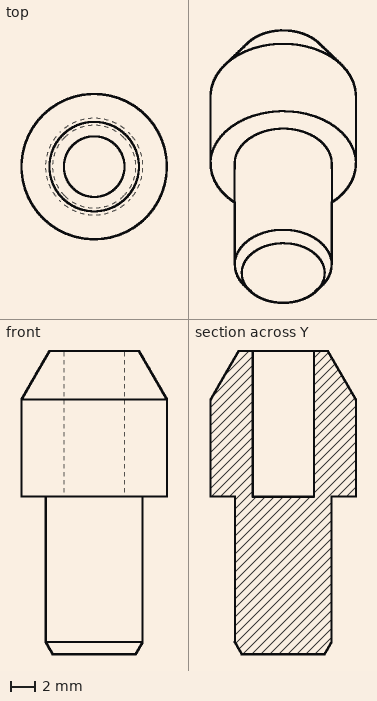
import cadquery as cq
import math

total_height = 25.0
head_diameter = 12.0
head_height = 12.0
head_taper_height = 4.0
stem_diameter = 8.0
stem_taper_height = 1.0
taper_angle = math.radians(30.0)
bore_diameter = 5.0
bore_depth = head_height

head_radius = head_diameter / 2
stem_radius = stem_diameter / 2
head_top_radius = head_radius - head_taper_height * math.tan(taper_angle)
stem_tip_radius = stem_radius - stem_taper_height * math.tan(taper_angle)
shoulder_level = total_height - head_height
head_taper_level = total_height - head_taper_height


def pin_body():
    """Revolve the half profile of the stem and head about the Z axis."""
    return (
        cq.Workplane("XZ")
        .moveTo(0, 0)
        .lineTo(stem_tip_radius, 0)
        .lineTo(stem_radius, stem_taper_height)
        .lineTo(stem_radius, shoulder_level)
        .lineTo(head_radius, shoulder_level)
        .lineTo(head_radius, head_taper_level)
        .lineTo(head_top_radius, total_height)
        .lineTo(0, total_height)
        .close()
        .revolve(360, (0, 0, 0), (0, 1, 0))
    )


def blind_bore():
    """Flat-bottomed cylinder that opens at the top of the head."""
    return (
        cq.Workplane("XY")
        .workplane(offset=total_height - bore_depth)
        .circle(bore_diameter / 2)
        .extrude(bore_depth)
    )


result = pin_body().cut(blind_bore())